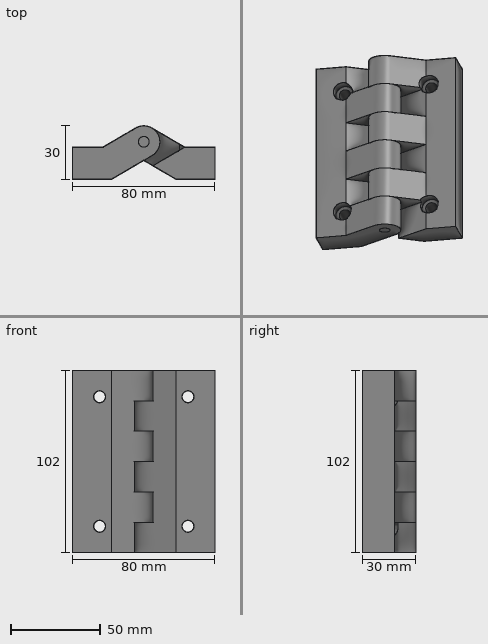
import cadquery as cq
import math

width = 80.0
height = 102.0
overall_depth = 30.0

plate_thickness = 18.0
flat_length = 22.0
knuckle_radius = plate_thickness / 2
axis_x = width / 2
axis_y = overall_depth - knuckle_radius

axis_reach = axis_x - flat_length
bend_angle = math.atan2(axis_y, axis_reach) - math.asin(knuckle_radius / math.hypot(axis_reach, axis_y))

back_bend_x = flat_length - plate_thickness * math.tan(bend_angle / 2)

knuckles_per_leaf = 3
knuckle_pitch = height / knuckles_per_leaf
knuckle_length = knuckle_pitch / 2

pin_diameter = 6.0

hole_diameter = 6.5
head_diameter = 10.5
head_depth = 6.0
hole_edge_x = 15.25
hole_edge_z = 14.75


def leaf_blank():
    """Bent plate of full height with a rounded edge around the hinge axis."""
    dx = knuckle_radius * math.sin(bend_angle)
    dy = knuckle_radius * math.cos(bend_angle)
    tip_x = axis_x + knuckle_radius * math.cos(bend_angle)
    tip_y = axis_y + knuckle_radius * math.sin(bend_angle)
    return (
        cq.Workplane("XY")
        .moveTo(0, 0)
        .lineTo(flat_length, 0)
        .lineTo(axis_x + dx, axis_y - dy)
        .threePointArc((tip_x, tip_y), (axis_x - dx, axis_y + dy))
        .lineTo(back_bend_x, plate_thickness)
        .lineTo(0, plate_thickness)
        .close()
        .extrude(height)
    )


def knuckle_gap(bottom_z):
    """Cutter that clears the arm for one opposing knuckle.

    Its inner face starts at the back bend and runs parallel to the opposing arm.
    """
    reach = width
    drop = reach * math.tan(bend_angle)
    return (
        cq.Workplane("XY")
        .workplane(offset=bottom_z)
        .moveTo(back_bend_x, plate_thickness)
        .lineTo(back_bend_x + reach, plate_thickness - drop)
        .lineTo(back_bend_x + reach, plate_thickness + reach)
        .lineTo(back_bend_x, plate_thickness + reach)
        .close()
        .extrude(knuckle_length)
    )


def screw_hole(z):
    """Through hole with a head bore that also clips the foot of the arm."""
    def bore(diameter, start_y):
        return (
            cq.Workplane("XZ", origin=(hole_edge_x, start_y, z))
            .circle(diameter / 2)
            .extrude(start_y - overall_depth)
        )

    return bore(hole_diameter, 0).union(bore(head_diameter, plate_thickness - head_depth))


def pin_cylinder():
    """Hinge pin, also used to bore the matching hole in each knuckle."""
    return (
        cq.Workplane("XY", origin=(axis_x, axis_y, 0))
        .circle(pin_diameter / 2)
        .extrude(height)
    )


def hinge_leaf(first_gap_z):
    """Leaf shaped for the -X side, with its lowest knuckle gap starting at first_gap_z."""
    leaf = leaf_blank()
    for index in range(knuckles_per_leaf):
        leaf = leaf.cut(knuckle_gap(first_gap_z + index * knuckle_pitch))
    for z in (hole_edge_z, height - hole_edge_z):
        leaf = leaf.cut(screw_hole(z))
    return leaf.cut(pin_cylinder())


left_leaf = hinge_leaf(0)
right_leaf = hinge_leaf(knuckle_length).mirror("YZ", (axis_x, 0, 0))
pin = pin_cylinder()

result = cq.Compound.makeCompound([left_leaf.solids().val(), right_leaf.solids().val(), pin.val()])